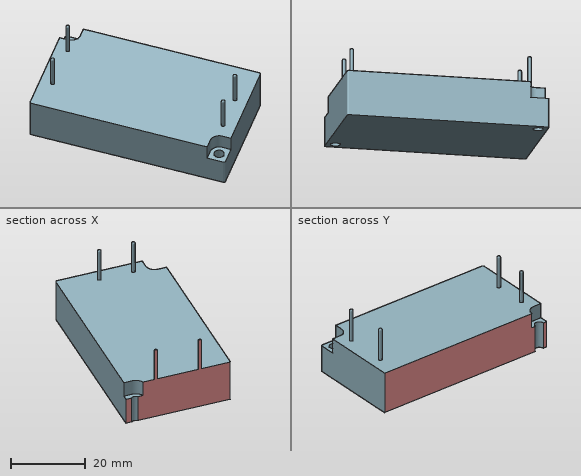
import cadquery as cq

case_length = 55.0
case_width = 30.0
case_height = 12.4
case_edge_radius = 0.5

notch_size = 5.0
notch_depth = 4.4
notch_radius = notch_size / 2
ear_height = case_height - notch_depth
mount_hole_diameter = 2.7
mount_hole_inset = notch_size / 2

pin_diameter = 1.05
pin_radius = pin_diameter / 2
overall_height = 22.0
pin_x = 24.0
input_pin_y = 6.4
input_return_pin_y = -6.2
output_return_pin_y = 3.75
output_pin_y = -6.05
pin_positions = [
    (-pin_x, input_pin_y),
    (-pin_x, input_return_pin_y),
    (pin_x, output_return_pin_y),
    (pin_x, output_pin_y),
]

ear_corners = [(-1, 1), (1, -1)]


def make_case():
    """Plain block with lightly rounded vertical edges."""
    block = cq.Workplane("XY").box(
        case_length, case_width, case_height, centered=(True, True, False)
    )
    return block.edges("|Z").fillet(case_edge_radius)


def make_notch(x_side, y_side):
    """Square corner cut above an ear, rounded at its inner vertical edge."""
    cutter = cq.Workplane("XY").box(
        2 * notch_size, 2 * notch_size, notch_depth, centered=(True, True, False)
    )
    cutter = cutter.edges("|Z").fillet(notch_radius)
    return cutter.translate((x_side * case_length / 2, y_side * case_width / 2, ear_height))


def make_mount_hole(x_side, y_side):
    """Cylinder that drills one ear through to the underside."""
    x = x_side * (case_length / 2 - mount_hole_inset)
    y = y_side * (case_width / 2 - mount_hole_inset)
    return cq.Workplane("XY").center(x, y).circle(mount_hole_diameter / 2).extrude(case_height)


def make_pin(x, y):
    """Round pin with a hemispherical tip, starting at the top face of the case."""
    shoulder_height = overall_height - pin_radius
    shank = (
        cq.Workplane("XY", origin=(x, y, case_height))
        .circle(pin_radius)
        .extrude(shoulder_height - case_height)
    )
    tip = cq.Workplane("XY", origin=(x, y, shoulder_height)).sphere(pin_radius)
    return shank.union(tip)


result = make_case()
for x_side, y_side in ear_corners:
    result = result.cut(make_notch(x_side, y_side))
    result = result.cut(make_mount_hole(x_side, y_side))
for x, y in pin_positions:
    result = result.union(make_pin(x, y))